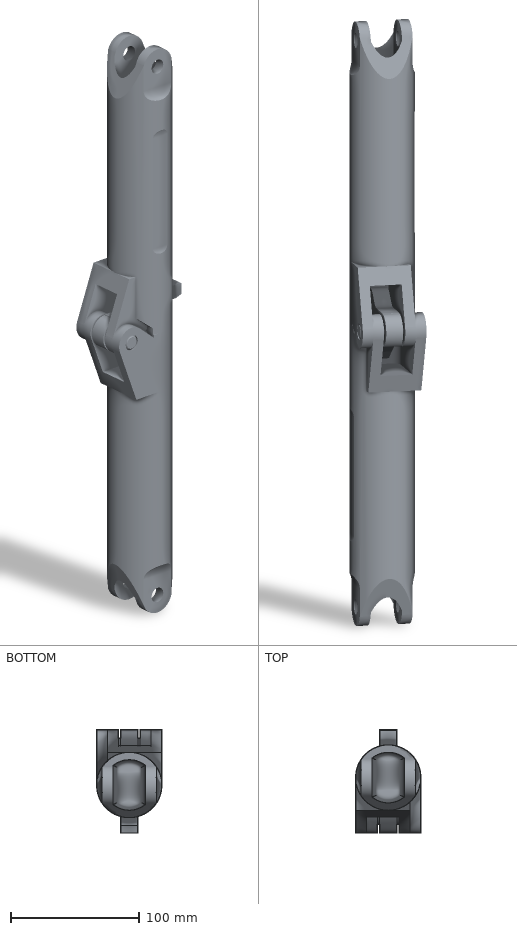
import cadquery as cq
import math

LENGTH = 480.0
RADIUS = 25.5
DIAMETER = 2 * RADIUS
HALF_LENGTH = LENGTH / 2
KNUCKLE = RADIUS / 3
TAPER = math.radians(20)
HALF_TURN = math.pi

EYE_RADIUS = 15.0
EYE_Z = HALF_LENGTH - EYE_RADIUS
EYE_HOLE = 12.0
FORK_GAP = 25.0
FORK_BORE = 19.5
FORK_FLOOR_Z = 192.0
FORK_FLOOR_FILLET = 4.0
FORK_OUTER = 21.0
CUTTER_RADIUS = 12.5
EAR_FLAT_Z = 208.0

SIDE_FLAT_DEPTH = 1.1
SIDE_FLAT_LENGTH = 94.5
SIDE_FLAT_Z = LENGTH / 4

HUB_RADIUS = 13.0
HUB_REACH = 43.0
HUB_Y = HUB_RADIUS - HUB_REACH
PIN_RADIUS = 6.0
PIN_CHAMFER = 1.5
BLOCK_HEIGHT = 50.0
HEEL_ANGLE = math.radians(40)
HEEL_Y = -7.0
CLEARANCE = 6.0
POCKET_HEIGHT = 36.0
POCKET_FLOOR_Y = 14.5
POCKET_FILLET = 6.0

LATCH_WIDTH = 13.5
SHELF_TOP = 13.5
ARM_TOP = 25.5
ARM_BOTTOM = 14.0
ARM_END_Y = 37.5
BUTTON_CHAMFER = 1.0
BUTTON_TAPER_LENGTH = 6.0
BUTTON_TAPER = 2.0
RAMP_START_Y = -9.5
RAMP_ANGLE = math.radians(45)
RAMP_BEND = 10.0
NOSE_TOP = -HUB_RADIUS
NOSE_BEND = -22.5
NOSE_TIP = -30.0
NOSE_START_Y = -19.0
NOSE_UPPER_ANGLE = math.radians(32)
NOSE_LOWER_ANGLE = math.radians(38)


def extrude_x(profile, x_min, x_max):
    """Extrude a closed (Y, Z) outline from x_min to x_max."""
    return profile.extrude(x_max - x_min).translate((x_min, 0, 0))


def outline(y, z):
    """Start a (Y, Z) outline at this point."""
    return cq.Workplane("YZ").moveTo(y, z)


def hub_point(angle):
    """Point on the hub circle; the angle is measured from +Y towards +Z."""
    return HUB_Y + HUB_RADIUS * math.cos(angle), HUB_RADIUS * math.sin(angle)


def heel_height(y, radius):
    """Z of the heel line, which is tangent to a circle of this radius around the hinge axis."""
    return (y - HUB_Y) * math.tan(HEEL_ANGLE) - radius / math.cos(HEEL_ANGLE)


def tapered_bar():
    """Round bar from the joint plane to the eye, narrowed to a rounded tip across Y."""
    bar = cq.Workplane("XY").circle(RADIUS).extrude(HALF_LENGTH)
    tip_y = EYE_RADIUS * math.cos(TAPER)
    tip_z = EYE_Z + EYE_RADIUS * math.sin(TAPER)
    shoulder_z = tip_z - (RADIUS - tip_y) / math.tan(TAPER)
    side = (
        outline(-RADIUS, 0)
        .lineTo(RADIUS, 0)
        .lineTo(RADIUS, shoulder_z)
        .lineTo(tip_y, tip_z)
        .threePointArc((0, HALF_LENGTH), (-tip_y, tip_z))
        .lineTo(-RADIUS, shoulder_z)
        .close()
    )
    return bar.intersect(extrude_x(side, -RADIUS, RADIUS))


def flat_cutter(face_x, z_min, z_max):
    """Cutter for a flat on the +X side, with a round run-out at both ends."""
    return (
        cq.Workplane("XY")
        .box(DIAMETER, DIAMETER, z_max - z_min + 2 * CUTTER_RADIUS)
        .edges("<X and |Y")
        .fillet(CUTTER_RADIUS)
        .translate((face_x + RADIUS, 0, (z_min + z_max) / 2))
    )


def fork_cutters():
    """Recess, pin holes and outer flats of the forked end."""
    recess = (
        cq.Workplane("XY", origin=(0, 0, FORK_FLOOR_Z))
        .circle(FORK_BORE)
        .extrude(LENGTH)
        .intersect(cq.Workplane("XY").box(FORK_GAP, DIAMETER, 2 * LENGTH))
        .faces("<Z")
        .edges()
        .fillet(FORK_FLOOR_FILLET)
    )
    hole = cq.Workplane("YZ").center(0, EYE_Z).circle(EYE_HOLE / 2).extrude(RADIUS, both=True)
    right_flat = flat_cutter(FORK_OUTER, EAR_FLAT_Z, LENGTH)
    return recess.union(hole).union(right_flat).union(right_flat.mirror("YZ"))


def hinge_block():
    """Slanted block with the rounded hinge hub, over the full width of the knuckles."""
    slant_y, slant_z = hub_point(HALF_TURN - TAPER)
    heel_y, heel_z = hub_point(HEEL_ANGLE - HALF_TURN / 2)
    side = (
        outline(0, 0)
        .lineTo(0, BLOCK_HEIGHT)
        .lineTo(-RADIUS, BLOCK_HEIGHT)
        .lineTo(slant_y, slant_z)
        .threePointArc(hub_point(-HALF_TURN * 3 / 4), (heel_y, heel_z))
        .lineTo(HEEL_Y, heel_height(HEEL_Y, HUB_RADIUS))
        .lineTo(HEEL_Y, 0)
        .close()
    )
    return extrude_x(side, -RADIUS, 2 * KNUCKLE)


def heel_clearance():
    """Space in the end of the round bar for the heels of the mating half."""
    reach = HUB_RADIUS + CLEARANCE
    edge_height = -heel_height(-RADIUS, reach)
    side = (
        outline(HEEL_Y, 0)
        .lineTo(HEEL_Y, -heel_height(HEEL_Y, reach))
        .lineTo(-RADIUS, edge_height)
        .lineTo(-RADIUS, 0)
        .close()
    )
    return extrude_x(side, -RADIUS, RADIUS)


def hinge_pocket():
    """Pocket between the knuckles, with its outer floor corner rounded."""
    depth = POCKET_FLOOR_Y + DIAMETER
    return (
        cq.Workplane("XY")
        .box(3 * KNUCKLE, depth, POCKET_HEIGHT + HUB_RADIUS + CLEARANCE, centered=False)
        .edges("<X and >Y")
        .fillet(POCKET_FILLET)
        .translate((-2 * KNUCKLE, POCKET_FLOOR_Y - depth, -HUB_RADIUS - CLEARANCE))
    )


def make_half():
    """One half of the bar, built on the +Z side."""
    half = tapered_bar().cut(fork_cutters())
    side_flat = flat_cutter(
        RADIUS - SIDE_FLAT_DEPTH,
        SIDE_FLAT_Z - SIDE_FLAT_LENGTH / 2,
        SIDE_FLAT_Z + SIDE_FLAT_LENGTH / 2,
    )
    half = half.cut(side_flat).cut(heel_clearance())
    half = half.union(hinge_block()).cut(hinge_pocket())
    return half.cut(pin_blank())


def pin_blank():
    """Plain cylinder along the hinge axis, used for the pin and for its holes."""
    return cq.Workplane("YZ").center(HUB_Y, 0).circle(PIN_RADIUS).extrude(RADIUS, both=True)


def make_pin():
    """Hinge pin, flush with the knuckles, with chamfered ends."""
    return pin_blank().faces("<X or >X").chamfer(PIN_CHAMFER)


def arm_passage():
    """Opening in the back of the upper half for the latch arm."""
    arm_middle_z = (ARM_TOP + ARM_BOTTOM) / 2
    return (
        cq.Workplane("XY")
        .box(LATCH_WIDTH, DIAMETER, ARM_TOP - ARM_BOTTOM)
        .translate((0, POCKET_FLOOR_Y + RADIUS, arm_middle_z))
    )


def make_latch():
    """Lever on the hinge pin: hub, ramp up to the button arm, and a nose below."""
    bend_run = RAMP_BEND * math.sin(RAMP_ANGLE)
    bend_rise = RAMP_BEND * (1 - math.cos(RAMP_ANGLE))
    ramp_low = (RAMP_START_Y + bend_run, SHELF_TOP + bend_rise)
    ramp_high_z = ARM_TOP - bend_rise
    ramp_high = (ramp_low[0] + (ramp_high_z - ramp_low[1]) / math.tan(RAMP_ANGLE), ramp_high_z)
    ramp_end = (ramp_high[0] + bend_run, ARM_TOP)
    bend_y = NOSE_START_Y + (NOSE_TOP - NOSE_BEND) / math.tan(NOSE_UPPER_ANGLE)
    tip_y = bend_y + (NOSE_BEND - NOSE_TIP) / math.tan(NOSE_LOWER_ANGLE)
    lever = (
        outline(HUB_Y, SHELF_TOP)
        .lineTo(RAMP_START_Y, SHELF_TOP)
        .tangentArcPoint(ramp_low, relative=False)
        .lineTo(*ramp_high)
        .tangentArcPoint(ramp_end, relative=False)
        .lineTo(ARM_END_Y - BUTTON_CHAMFER, ARM_TOP)
        .lineTo(ARM_END_Y, ARM_TOP - BUTTON_CHAMFER)
        .lineTo(ARM_END_Y, ARM_BOTTOM + BUTTON_TAPER)
        .lineTo(ARM_END_Y - BUTTON_TAPER_LENGTH, ARM_BOTTOM)
        .lineTo(POCKET_FLOOR_Y, ARM_BOTTOM)
        .lineTo(POCKET_FLOOR_Y, NOSE_TIP)
        .lineTo(tip_y, NOSE_TIP)
        .lineTo(bend_y, NOSE_BEND)
        .lineTo(NOSE_START_Y, NOSE_TOP)
        .lineTo(HUB_Y, NOSE_TOP)
        .close()
    )
    hub = outline(HUB_Y, 0).circle(HUB_RADIUS)
    half_width = LATCH_WIDTH / 2
    body = extrude_x(lever, -half_width, half_width).union(extrude_x(hub, -half_width, half_width))
    return body.cut(pin_blank())


half = make_half()
upper_half = half.cut(arm_passage())
lower_half = half.rotate((0, 0, 0), (0, 1, 0), 180)
hinge_pin = make_pin()
latch = make_latch()

result = cq.Compound.makeCompound([
    upper_half.val(),
    lower_half.val(),
    hinge_pin.val(),
    latch.val(),
])